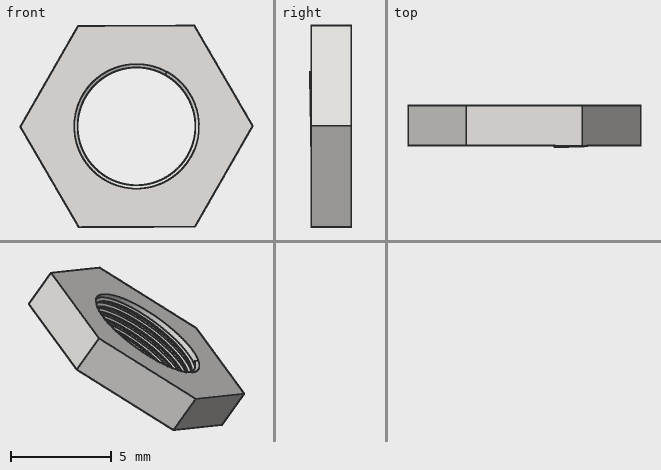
import cadquery as cq
import math

corner_diameter = 11.55
thickness = 2.0
corner_tilt = 0.2
bore_radius = 3.1

crest_radius = 2.92
pitch = 0.32
thread_turns = 5.7
ridge_root_width = 0.22
ridge_crest_width = 0.05
root_overlap = 0.01
start_angle = 61.0
front_overhang = 0.08


def hexagon_body():
    return (
        cq.Workplane("XZ")
        .transformed(rotate=(0, 0, corner_tilt))
        .polygon(6, corner_diameter)
        .circle(bore_radius)
        .extrude(-thickness)
    )


def thread_ridge():
    root_radius = bore_radius + root_overlap
    flank_slope = (ridge_root_width - ridge_crest_width) / (2 * (bore_radius - crest_radius))
    root_half = ridge_crest_width / 2 + flank_slope * (root_radius - crest_radius)
    crest_half = ridge_crest_width / 2
    helix = cq.Wire.makeHelix(pitch, pitch * thread_turns, bore_radius)
    ridge = (
        cq.Workplane("XZ")
        .polyline([
            (root_radius, -root_half),
            (crest_radius, -crest_half),
            (crest_radius, crest_half),
            (root_radius, root_half),
        ])
        .close()
        .sweep(cq.Workplane(obj=helix), isFrenet=True)
    )
    start_depth = root_half - front_overhang
    return (
        ridge.rotate((0, 0, 0), (1, 0, 0), -90)
        .rotate((0, 0, 0), (0, 1, 0), -start_angle)
        .translate((0, start_depth, 0))
    )


result = hexagon_body().union(thread_ridge())